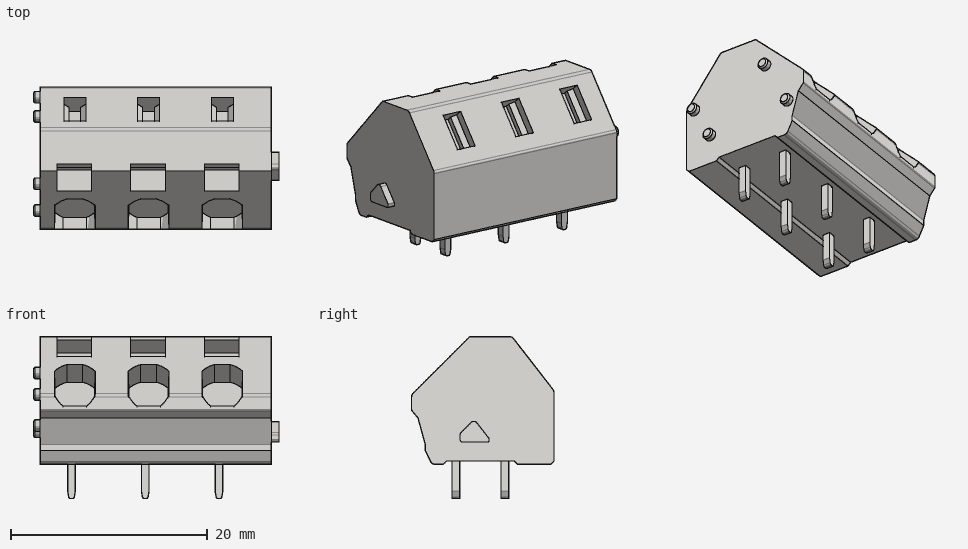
import cadquery as cq
import math


POLE_COUNT = 3
POLE_PITCH = 7.5
WIRE_X = 3.52
WINDOW_X = 3.46
PIN_X = 3.18

LENGTH = 23.5
DEPTH = 14.5
HEIGHT = 13.0
NOSE_TOP = 7.07
NOSE_BOTTOM = 5.5
RIDGE_FRONT = HEIGHT - NOSE_TOP
RIDGE_BACK = 10.23
BACK_TOP = 7.5
UNDERCUT_Y, UNDERCUT_Z = 0.65, 4.73
SKIRT_Y = 1.4
SKIRT_TOP, SKIRT_BOTTOM = 2.0, 1.4
FOOT_FRONT = 2.08
RECESS_FRONT, RECESS_BACK = 3.55, 10.45
RECESS_HEIGHT = 0.33
BACK_FOOT_BEVEL = 0.33
CORNER_RADIUS = 0.5
RIDGE_FRONT_RADIUS = 0.2
NOSE_LIP_RADIUS = 0.2

ENTRY_MOUTH_WIDTH = 4.15
ENTRY_FLOOR_WIDTH = 4.0
ENTRY_DEPTH = 2.54
ENTRY_ARC_RADIUS = 2.5
ENTRY_TOP_Y = 3.08
ENTRY_LENGTH = 5.16
ENTRY_TOP_FLAT = 1.6
ENTRY_BOTTOM_FLAT = 2.4

WINDOW_WIDTH = 3.52
WINDOW_DEPTH = 2.4
WINDOW_LIP_Y = 3.9
WINDOW_FLOOR_Y = 6.05
WINDOW_BACK_Y = 6.67
WINDOW_LEAD_IN = 0.36

RELEASE_FRONT, RELEASE_BACK = 11.01, 13.41
RELEASE_WIDE, RELEASE_NARROW = 2.25, 1.19
RELEASE_WIDE_DEPTH = 0.86
RELEASE_TAPER_END = 1.25
RELEASE_DEPTH = 1.79

PEG_CENTRES = [(4.65, 9.3), (1.91, 3.95), (13.45, 7.12), (11.48, 3.32)]
PEG_DIAMETER = 1.2
PEG_LENGTH = 0.7
PEG_CHAMFER = 0.16

KEY_LENGTH = 0.8
KEY_FRONT, KEY_BACK = 4.95, 7.87
KEY_BOTTOM = 2.27
KEY_NOSE_TOP = 3.15
KEY_BACK_TOP = 2.66
KEY_RIDGE_Y = 6.38
KEY_RIDGE_Z = KEY_NOSE_TOP + KEY_RIDGE_Y - KEY_FRONT
KEY_RADIUS = 0.4
KEY_BOTTOM_RADIUS = 0.25
KEY_BACK_RADIUS = 0.1

PIN_SIZE = 0.8
PIN_ROWS = [4.52, 9.5]
PIN_TIP_Z = -3.48
PIN_TAPER = 0.75
PIN_TIP_WIDTH = 0.54
PIN_TIP_RADIUS = 0.22

CUT_MARGIN = 1.0
POLE_OFFSETS = [i * POLE_PITCH for i in range(POLE_COUNT)]


def rounded_outline(plane, corners):
    """Closed outline through (u, v, radius) corners; a radius of 0 leaves the corner sharp."""
    outline = None
    for i, (u, v, radius) in enumerate(corners):
        corner = cq.Vector(u, v)
        to_last = (cq.Vector(*corners[i - 1][:2]) - corner).normalized()
        to_next = (cq.Vector(*corners[(i + 1) % len(corners)][:2]) - corner).normalized()
        half_angle = to_last.getAngle(to_next) / 2
        setback = radius / math.tan(half_angle)
        bisector = (to_last + to_next).normalized()
        middle = corner + bisector * (radius / math.sin(half_angle) - radius)
        start = corner + to_last * setback
        end = corner + to_next * setback
        if outline is None:
            outline = cq.Workplane(plane).moveTo(start.x, start.y)
        else:
            outline = outline.lineTo(start.x, start.y)
        if radius > 0:
            outline = outline.threePointArc((middle.x, middle.y), (end.x, end.y))
    return outline.close()


def front_slope_z(y):
    return NOSE_TOP + y


def make_block():
    corners = [
        (0, NOSE_TOP, CORNER_RADIUS),
        (RIDGE_FRONT, HEIGHT, RIDGE_FRONT_RADIUS),
        (RIDGE_BACK, HEIGHT, CORNER_RADIUS),
        (DEPTH, BACK_TOP, CORNER_RADIUS),
        (DEPTH, BACK_FOOT_BEVEL, 0),
        (DEPTH - BACK_FOOT_BEVEL, 0, 0),
        (RECESS_BACK + RECESS_HEIGHT, 0, 0),
        (RECESS_BACK, RECESS_HEIGHT, 0),
        (RECESS_FRONT, RECESS_HEIGHT, 0),
        (RECESS_FRONT - RECESS_HEIGHT, 0, 0),
        (FOOT_FRONT, 0, CORNER_RADIUS),
        (SKIRT_Y, SKIRT_BOTTOM, 0),
        (SKIRT_Y, SKIRT_TOP, 0),
        (UNDERCUT_Y, UNDERCUT_Z, 0),
        (0, NOSE_BOTTOM, NOSE_LIP_RADIUS),
    ]
    return rounded_outline(cq.Plane.YZ(), corners).extrude(LENGTH)


def draw_entry_outline(workplane, width):
    """Wire entry outline with its upper end on the origin and v pointing up the slope."""
    half_width = width / 2
    top_half = ENTRY_TOP_FLAT / 2
    bottom_half = ENTRY_BOTTOM_FLAT / 2

    def arc_height(u):
        return math.sqrt(ENTRY_ARC_RADIUS ** 2 - u ** 2)

    top_centre = -arc_height(top_half)
    bottom_centre = arc_height(bottom_half) - ENTRY_LENGTH
    side_top = top_centre + arc_height(half_width)
    side_bottom = bottom_centre - arc_height(half_width)
    top_mid = (top_half + half_width) / 2
    top_mid_v = top_centre + arc_height(top_mid)
    bottom_mid = (bottom_half + half_width) / 2
    bottom_mid_v = bottom_centre - arc_height(bottom_mid)
    return (
        workplane.moveTo(-top_half, 0)
        .lineTo(top_half, 0)
        .threePointArc((top_mid, top_mid_v), (half_width, side_top))
        .lineTo(half_width, side_bottom)
        .threePointArc((bottom_mid, bottom_mid_v), (bottom_half, -ENTRY_LENGTH))
        .lineTo(-bottom_half, -ENTRY_LENGTH)
        .threePointArc((-bottom_mid, bottom_mid_v), (-half_width, side_bottom))
        .lineTo(-half_width, side_top)
        .threePointArc((-top_mid, top_mid_v), (-top_half, 0))
        .close()
    )


def make_wire_entry(x):
    """Cutter for one wire entry, running from its floor out past the front slope."""
    top_point = (x, ENTRY_TOP_Y, front_slope_z(ENTRY_TOP_Y))
    slope = cq.Plane(origin=top_point, xDir=(1, 0, 0), normal=(0, -1, 1))
    widening = (ENTRY_MOUTH_WIDTH - ENTRY_FLOOR_WIDTH) / ENTRY_DEPTH
    outer_width = ENTRY_MOUTH_WIDTH + widening * CUT_MARGIN
    floor = draw_entry_outline(cq.Workplane(slope).workplane(offset=-ENTRY_DEPTH), ENTRY_FLOOR_WIDTH)
    outer_plane = floor.workplane(offset=ENTRY_DEPTH + CUT_MARGIN)
    return draw_entry_outline(outer_plane, outer_width).loft(ruled=True)


def make_window(x):
    """Cutter for one lever window; its floor is parallel to the front slope."""
    floor_drop = WINDOW_DEPTH * math.sqrt(2)
    floor_z = front_slope_z(WINDOW_FLOOR_Y) - floor_drop
    lead_y = WINDOW_BACK_Y - WINDOW_LEAD_IN
    lead_z = HEIGHT - WINDOW_LEAD_IN
    wall_run = (lead_z - front_slope_z(lead_y) + floor_drop) / 2
    points = [
        (WINDOW_LIP_Y, front_slope_z(WINDOW_LIP_Y)),
        (WINDOW_FLOOR_Y, floor_z),
        (lead_y + wall_run, lead_z - wall_run),
        (lead_y, lead_z),
        (WINDOW_BACK_Y + CUT_MARGIN, HEIGHT + CUT_MARGIN),
        (WINDOW_LIP_Y, HEIGHT + CUT_MARGIN),
    ]
    left_side = cq.Plane.YZ((x - WINDOW_WIDTH / 2, 0, 0))
    return cq.Workplane(left_side).polyline(points).close().extrude(WINDOW_WIDTH)


def make_release_hole(x):
    """Cutter for one release hole, a stepped funnel section swept down the back slope."""
    run = DEPTH - RIDGE_BACK
    drop = HEIGHT - BACK_TOP
    slope_length = math.hypot(run, drop)
    top_z = HEIGHT - (RELEASE_FRONT - RIDGE_BACK) * drop / run
    section_plane = cq.Plane(origin=(x, RELEASE_FRONT, top_z), xDir=(-1, 0, 0), normal=(0, run, -drop))
    wide = RELEASE_WIDE / 2
    narrow = RELEASE_NARROW / 2
    points = [
        (-wide, CUT_MARGIN),
        (-wide, -RELEASE_WIDE_DEPTH),
        (-narrow, -RELEASE_TAPER_END),
        (-narrow, -RELEASE_DEPTH),
        (narrow, -RELEASE_DEPTH),
        (narrow, -RELEASE_TAPER_END),
        (wide, -RELEASE_WIDE_DEPTH),
        (wide, CUT_MARGIN),
    ]
    hole_length = (RELEASE_BACK - RELEASE_FRONT) * slope_length / run
    return cq.Workplane(section_plane).polyline(points).close().extrude(hole_length)


def make_pegs():
    return (
        cq.Workplane("YZ")
        .pushPoints(PEG_CENTRES)
        .circle(PEG_DIAMETER / 2)
        .extrude(-PEG_LENGTH)
        .faces("<X")
        .chamfer(PEG_CHAMFER)
    )


def make_key():
    corners = [
        (KEY_FRONT, KEY_BOTTOM, KEY_BOTTOM_RADIUS),
        (KEY_FRONT, KEY_NOSE_TOP, KEY_RADIUS),
        (KEY_RIDGE_Y, KEY_RIDGE_Z, KEY_RADIUS),
        (KEY_BACK, KEY_BACK_TOP, KEY_BACK_RADIUS),
        (KEY_BACK, KEY_BOTTOM, KEY_BACK_RADIUS),
    ]
    return rounded_outline(cq.Plane.YZ((LENGTH, 0, 0)), corners).extrude(KEY_LENGTH)


def make_housing():
    body = make_block().union(make_pegs()).union(make_key())
    for offset in POLE_OFFSETS:
        body = body.cut(make_wire_entry(WIRE_X + offset))
        body = body.cut(make_window(WINDOW_X + offset))
        body = body.cut(make_release_hole(WIRE_X + offset))
    return body


def make_pin(x, y):
    """One solder pin hanging from the housing underside, tapered to a rounded tip."""
    half = PIN_SIZE / 2
    tip_half = PIN_TIP_WIDTH / 2
    shoulder = PIN_TIP_Z + PIN_TAPER
    corners = [
        (-half, RECESS_HEIGHT, 0),
        (-half, shoulder, 0),
        (-tip_half, PIN_TIP_Z, PIN_TIP_RADIUS),
        (tip_half, PIN_TIP_Z, PIN_TIP_RADIUS),
        (half, shoulder, 0),
        (half, RECESS_HEIGHT, 0),
    ]
    back_face = cq.Plane.XZ((x, y + half, 0))
    return rounded_outline(back_face, corners).extrude(PIN_SIZE)


housing = make_housing()
pins = [make_pin(PIN_X + offset, row) for offset in POLE_OFFSETS for row in PIN_ROWS]

result = cq.Compound.makeCompound([housing.val(), *[pin.val() for pin in pins]])